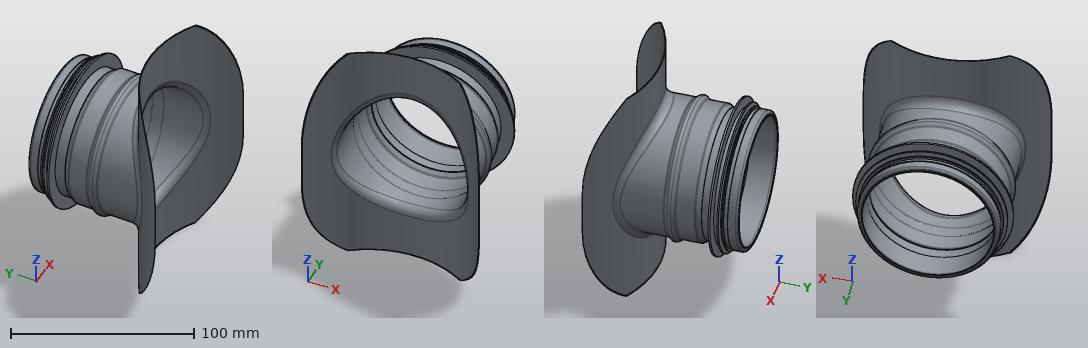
import cadquery as cq
import math

sheet = 0.5

pipe_radius = 78.1 / 2
neck_radius = 74.3 / 2
cone_start = 21.5
cone_end = 24.5
cone_bend = 1.1
bead_start = 35.8
bead_end = 42.3
bead_apex_radius = 41.5
bead_crest_round = 1.7
bead_root_round = 1.1
bead_middle = (bead_start + bead_end) / 2

hem_radius = 79.1 / 2
hem_length = 6.0
hem_round = 1.4

saddle_width = 105.0
saddle_height = 142.0
saddle_apex_depth = 55.2
overall_depth = 84.8
saddle_drop = overall_depth - saddle_apex_depth
saddle_outer_radius = ((saddle_width / 2) ** 2 + saddle_drop**2) / (2 * saddle_drop)
saddle_inner_radius = saddle_outer_radius - sheet
saddle_axis_y = -saddle_apex_depth - saddle_outer_radius
edge_arc_radius = 92.3
edge_arc_offset = 14.2
junction_outer_round = 5.0
junction_inner_round = 5.0

seal_fins = [
    (40.3, 8.2, 8.2, 9.1),
    (84.5 / 2, 10.0, 10.4, 11.2),
    (89.5 / 2, 13.9, 14.3, 15.5),
]


def revolve_profile(points):
    """Turn a closed outline of (radius, depth) points about the pipe axis."""
    outline = [(radius, -depth) for radius, depth in points]
    return cq.Workplane("XY").polyline(outline).close().revolve(360, (0, 0, 0), (0, 1, 0))


def round_ring(solid, radius, depth, size):
    """Round the circular edge with the given radius and depth."""
    return solid.edges(cq.selectors.BoxSelector(
        (-radius - 0.1, -depth - 0.1, -radius - 0.1),
        (radius + 0.1, -depth + 0.1, radius + 0.1),
        boundingbox=True,
    )).fillet(size)


def pipe_core(inset):
    """Solid of the pipe without its bead, with every radius reduced by the inset."""
    neck = neck_radius - inset
    pipe = pipe_radius - inset
    core = revolve_profile([
        (0, 0),
        (neck, 0),
        (neck, cone_start),
        (pipe, cone_end),
        (pipe, overall_depth),
        (0, overall_depth),
    ])
    return round_ring(core, pipe, cone_end, cone_bend)


def with_bead(core):
    """Add the outer bead, with rounded crest and roots; the bore stays smooth behind it."""
    bead = revolve_profile([
        (0, bead_start),
        (pipe_radius, bead_start),
        (bead_apex_radius, bead_middle),
        (pipe_radius, bead_end),
        (0, bead_end),
    ])
    beaded = core.union(bead)
    beaded = round_ring(beaded, bead_apex_radius, bead_middle, bead_crest_round)
    for depth in (bead_start, bead_end):
        beaded = round_ring(beaded, pipe_radius, depth, bead_root_round)
    return beaded


def saddle_cylinder(radius):
    """Full cylinder about the saddle axis, as tall as the saddle."""
    cylinder = cq.Workplane("XY").circle(radius).extrude(saddle_height / 2, both=True)
    return cylinder.translate((0, saddle_axis_y, 0))


def saddle_trim():
    """Block that trims the saddle: straight middle edge and arcs toward both ends."""
    half_height = saddle_height / 2
    rise = half_height - edge_arc_offset
    edge_y = -overall_depth
    arc_centre_y = edge_y + edge_arc_radius
    corner_y = arc_centre_y - math.sqrt(edge_arc_radius**2 - rise**2)
    half_angle = math.asin(rise / edge_arc_radius) / 2
    middle_y = arc_centre_y - edge_arc_radius * math.cos(half_angle)
    middle_z = edge_arc_offset + edge_arc_radius * math.sin(half_angle)
    return (
        cq.Workplane("YZ")
        .moveTo(0, -half_height)
        .lineTo(corner_y, -half_height)
        .threePointArc((middle_y, -middle_z), (edge_y, -edge_arc_offset))
        .lineTo(edge_y, edge_arc_offset)
        .threePointArc((middle_y, middle_z), (corner_y, half_height))
        .lineTo(0, half_height)
        .close()
        .extrude(saddle_width, both=True)
    )


def with_junction_round(core, cylinder, size):
    """Join the pipe core to a saddle cylinder and round the seam between them."""
    joined = cylinder.union(core)
    seam = cq.selectors.BoxSelector(
        (-pipe_radius - 0.1, -overall_depth, -pipe_radius - 0.1),
        (pipe_radius + 0.1, -saddle_apex_depth + 1.4, pipe_radius + 0.1),
        boundingbox=True,
    )
    return joined.edges(seam).fillet(size)


def hem_space():
    """Ring of space between the neck and the folded hem."""
    radius = hem_radius - sheet
    space = revolve_profile([
        (neck_radius, sheet),
        (radius, sheet),
        (radius, hem_length),
        (neck_radius, hem_length),
    ])
    return round_ring(space, radius, sheet, hem_round - sheet)


def make_hem():
    hem = revolve_profile([
        (neck_radius - sheet, 0),
        (hem_radius, 0),
        (hem_radius, hem_length),
        (neck_radius - sheet, hem_length),
    ])
    return round_ring(hem, hem_radius, 0, hem_round).cut(hem_space())


def make_saddle_pipe():
    outside = with_junction_round(
        with_bead(pipe_core(0)), saddle_cylinder(saddle_outer_radius), junction_outer_round)
    inside = with_junction_round(
        pipe_core(sheet), saddle_cylinder(saddle_inner_radius), junction_inner_round)
    return outside.cut(inside).intersect(saddle_trim()).union(make_hem())


def make_seal():
    """Seal ring held under the hem, with fins that thin toward their tips."""
    outline = [(neck_radius, hem_length), (pipe_radius, hem_length)]
    for tip_radius, root_start, tip_start, end in seal_fins:
        outline += [
            (pipe_radius, root_start),
            (tip_radius, tip_start),
            (tip_radius, end),
            (pipe_radius, end),
        ]
    outline.append((neck_radius, end))
    return revolve_profile(outline).union(hem_space())


saddle_pipe = make_saddle_pipe()
seal = make_seal()
result = cq.Compound.makeCompound([saddle_pipe.val(), seal.val()])